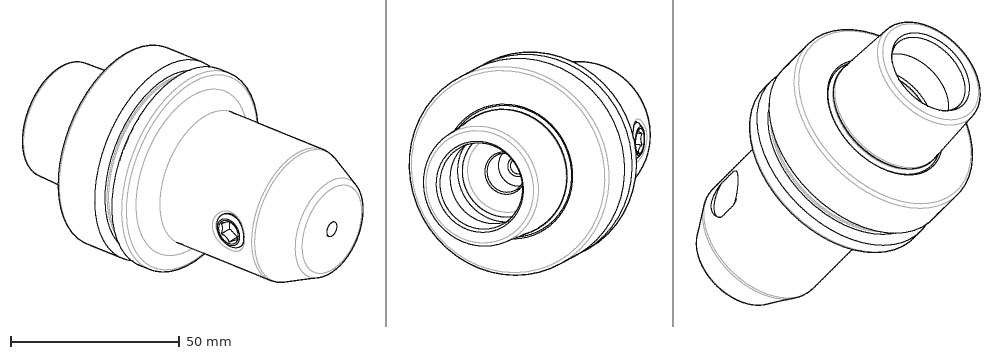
import cadquery as cq
import math

TOTAL_LENGTH = 105.0
TAPER_LENGTH = 25.0
NOSE_END_X = TOTAL_LENGTH - TAPER_LENGTH
TAPER_END_X = -TAPER_LENGTH

TAPER_SMALL_RADIUS = 18.1
TAPER_LARGE_RADIUS = 19.1
TAPER_RIM_FILLET = 1.2

RELIEF_RADIUS = 18.9
TAPER_ROOT_X = -2.1
RELIEF_START_X = -1.4
RELIEF_FLOOR_X = -1.0
RELIEF_ARC_RADIUS = 1.0
RELIEF_ARC_MIDDLE_ANGLE = math.radians(45)
RELIEF_DEPTH = 0.37
RELIEF_RIM_RADIUS = 20.4

FLANGE_RADIUS = 31.5
FLANGE_LENGTH = 26.0
FLANGE_RIM_FILLET = 1.0
GROOVE_CENTER_X = 18.0
GROOVE_MOUTH_WIDTH = 6.6
GROOVE_FLOOR_WIDTH = 3.4
GROOVE_FLOOR_RADIUS = 27.4
GROOVE_FLOOR_FILLET = 0.3
GROOVE_FLANK_ANGLE = 30.0

NECK_RADIUS = 21.0
NECK_FILLET = 5.0
CONE_LENGTH = 13.0
CONE_END_RADIUS = 15.1
CONE_START_FILLET = 2.4
CONE_END_FILLET = 2.0

CLAMP_BORE_RADIUS = 13.0
CLAMP_BORE_DEPTH = 22.5
CLAMP_BORE_FILLET = 1.2
CLAMP_MOUTH_RADIUS = 13.8
CLAMP_MOUTH_ANGLE = 30.0
RECESS_RADIUS = 14.5
RECESS_START_DEPTH = 10.3
RECESS_END_DEPTH = 21.0
TUBE_BORE_RADIUS = 5.9
TUBE_BORE_DEPTH = 10.5
TUBE_BORE_CHAMFER = 0.5
COOLANT_HOLE_RADIUS = 2.3
COOLANT_HOLE_CHAMFER = 0.6

SCREW_X = NOSE_END_X - 22.5
SCREW_RADIUS = 5.5
SCREW_LENGTH = 12.0
SCREW_HEAD_Y = -NECK_RADIUS
SCREW_TIP_Y = SCREW_HEAD_Y + SCREW_LENGTH
SCREW_CHAMFER = 1.2
SCREW_HOLE_FILLET = 0.79
SOCKET_ACROSS_FLATS = 6.0
SOCKET_DEPTH = 4.2
SOCKET_MOUTH_RADIUS = 3.8

BALANCE_X = NOSE_END_X - 24.9
BALANCE_RADIUS = 7.4
BALANCE_FLOOR_Y = 20.0

HEXAGON_HALF_ANGLE = math.radians(30)

MATCH_TOLERANCE = 0.01


def circles_at(body, x, radius):
    """Circular edges around the X axis with the given position and radius."""
    edges = [
        edge
        for edge in body.edges("%CIRCLE").vals()
        if abs(edge.arcCenter().x - x) < MATCH_TOLERANCE and abs(edge.radius() - radius) < MATCH_TOLERANCE
    ]
    return body.newObject(edges)


def make_outer_form():
    """Solid of revolution around X: taper, undercut, grooved flange, neck and nose."""
    groove_start = GROOVE_CENTER_X - GROOVE_MOUTH_WIDTH / 2
    groove_end = GROOVE_CENTER_X + GROOVE_MOUTH_WIDTH / 2
    floor_start = GROOVE_CENTER_X - GROOVE_FLOOR_WIDTH / 2
    floor_end = GROOVE_CENTER_X + GROOVE_FLOOR_WIDTH / 2
    flank_drop = (floor_start - groove_start) / math.tan(math.radians(GROOVE_FLANK_ANGLE))
    flank_end_radius = FLANGE_RADIUS - flank_drop

    arc_start_x = RELIEF_DEPTH - RELIEF_ARC_RADIUS
    arc_top_radius = RELIEF_RADIUS + RELIEF_ARC_RADIUS
    arc_middle_x = arc_start_x + RELIEF_ARC_RADIUS * math.sin(RELIEF_ARC_MIDDLE_ANGLE)
    arc_middle_radius = arc_top_radius - RELIEF_ARC_RADIUS * math.cos(RELIEF_ARC_MIDDLE_ANGLE)

    profile = (
        cq.Workplane("XZ")
        .moveTo(TAPER_END_X, 0)
        .lineTo(TAPER_END_X, TAPER_SMALL_RADIUS)
        .lineTo(TAPER_ROOT_X, TAPER_LARGE_RADIUS)
        .lineTo(RELIEF_START_X, TAPER_LARGE_RADIUS)
        .lineTo(RELIEF_FLOOR_X, RELIEF_RADIUS)
        .lineTo(arc_start_x, RELIEF_RADIUS)
        .threePointArc((arc_middle_x, arc_middle_radius), (RELIEF_DEPTH, arc_top_radius))
        .lineTo(0, RELIEF_RIM_RADIUS)
        .lineTo(0, FLANGE_RADIUS)
        .lineTo(groove_start, FLANGE_RADIUS)
        .lineTo(floor_start, flank_end_radius)
        .lineTo(floor_start, GROOVE_FLOOR_RADIUS)
        .lineTo(floor_end, GROOVE_FLOOR_RADIUS)
        .lineTo(floor_end, flank_end_radius)
        .lineTo(groove_end, FLANGE_RADIUS)
        .lineTo(FLANGE_LENGTH, FLANGE_RADIUS)
        .lineTo(FLANGE_LENGTH, NECK_RADIUS)
        .lineTo(NOSE_END_X - CONE_LENGTH, NECK_RADIUS)
        .lineTo(NOSE_END_X, CONE_END_RADIUS)
        .lineTo(NOSE_END_X, 0)
        .close()
    )
    return profile.revolve(360, (0, 0, 0), (1, 0, 0))


def round_outer_edges(body):
    """Fillets on the rims of the taper, flange, groove floor, neck and nose."""
    rounded_edges = [
        (TAPER_END_X, TAPER_SMALL_RADIUS, TAPER_RIM_FILLET),
        (0, FLANGE_RADIUS, FLANGE_RIM_FILLET),
        (GROOVE_CENTER_X - GROOVE_FLOOR_WIDTH / 2, GROOVE_FLOOR_RADIUS, GROOVE_FLOOR_FILLET),
        (GROOVE_CENTER_X + GROOVE_FLOOR_WIDTH / 2, GROOVE_FLOOR_RADIUS, GROOVE_FLOOR_FILLET),
        (FLANGE_LENGTH, FLANGE_RADIUS, FLANGE_RIM_FILLET),
        (FLANGE_LENGTH, NECK_RADIUS, NECK_FILLET),
        (NOSE_END_X - CONE_LENGTH, NECK_RADIUS, CONE_START_FILLET),
        (NOSE_END_X, CONE_END_RADIUS, CONE_END_FILLET),
    ]
    for x, radius, fillet in rounded_edges:
        body = circles_at(body, x, radius).fillet(fillet)
    return body


def cut_clamp_bore(body):
    """Clamping bore in the taper, with a countersunk mouth and an internal clamping recess."""
    mouth_depth = (CLAMP_MOUTH_RADIUS - CLAMP_BORE_RADIUS) / math.tan(math.radians(CLAMP_MOUTH_ANGLE))
    recess_start_x = TAPER_END_X + RECESS_START_DEPTH
    recess_end_x = TAPER_END_X + RECESS_END_DEPTH
    floor_x = TAPER_END_X + CLAMP_BORE_DEPTH
    profile = (
        cq.Workplane("XZ")
        .moveTo(TAPER_END_X, 0)
        .lineTo(TAPER_END_X, CLAMP_MOUTH_RADIUS)
        .lineTo(TAPER_END_X + mouth_depth, CLAMP_BORE_RADIUS)
        .lineTo(recess_start_x, CLAMP_BORE_RADIUS)
        .lineTo(recess_start_x, RECESS_RADIUS)
        .lineTo(recess_end_x, RECESS_RADIUS)
        .lineTo(recess_end_x, CLAMP_BORE_RADIUS)
        .lineTo(floor_x, CLAMP_BORE_RADIUS)
        .lineTo(floor_x, 0)
        .close()
    )
    bore = profile.revolve(360, (0, 0, 0), (1, 0, 0))
    bore = circles_at(bore, floor_x, CLAMP_BORE_RADIUS).fillet(CLAMP_BORE_FILLET)
    return body.cut(bore)


def cut_coolant_passage(body):
    """Coolant tube bore in the clamping bore floor, and the coolant hole that runs on through the nose."""
    tube_bore_x = TAPER_END_X + CLAMP_BORE_DEPTH
    coolant_hole_x = tube_bore_x + TUBE_BORE_DEPTH
    stages = [
        (tube_bore_x, TUBE_BORE_RADIUS, TUBE_BORE_DEPTH, TUBE_BORE_CHAMFER),
        (coolant_hole_x, COOLANT_HOLE_RADIUS, NOSE_END_X - coolant_hole_x, COOLANT_HOLE_CHAMFER),
    ]
    for start_x, radius, depth, chamfer in stages:
        bore = cq.Workplane("YZ", origin=(start_x, 0, 0)).circle(radius).extrude(depth)
        body = body.cut(bore)
        body = circles_at(body, start_x, radius).chamfer(chamfer)
    return body


def cut_balance_hole(body):
    """Flat-bottomed balancing hole in the +Y side of the neck."""
    hole = (
        cq.Workplane("XZ", origin=(BALANCE_X, NECK_RADIUS, 0))
        .circle(BALANCE_RADIUS)
        .extrude(NECK_RADIUS - BALANCE_FLOOR_Y)
    )
    return body.cut(hole)


def cut_screw_hole(body):
    """Blind hole that holds the clamping screw, with a rounded mouth."""
    hole = (
        cq.Workplane("XZ", origin=(SCREW_X, SCREW_TIP_Y, 0))
        .circle(SCREW_RADIUS)
        .extrude(NECK_RADIUS + SCREW_TIP_Y)
    )
    body = body.cut(hole)
    near_mouth = cq.selectors.NearestToPointSelector((SCREW_X, -NECK_RADIUS, 0))
    return body.edges("not(%CIRCLE or %LINE)").edges(near_mouth).fillet(SCREW_HOLE_FILLET)


def make_holder():
    """Tool holder: turned outer form with its bores and cross holes."""
    body = make_outer_form()
    body = round_outer_edges(body)
    body = cut_clamp_bore(body)
    body = cut_coolant_passage(body)
    body = cut_balance_hole(body)
    return cut_screw_hole(body)


def make_screw():
    """Set screw with chamfered ends and a countersunk hexagon socket."""
    body = (
        cq.Workplane("XZ", origin=(SCREW_X, SCREW_TIP_Y, 0))
        .circle(SCREW_RADIUS)
        .extrude(SCREW_LENGTH)
        .faces("<Y or >Y")
        .chamfer(SCREW_CHAMFER)
    )
    socket_corner_diameter = SOCKET_ACROSS_FLATS / math.cos(HEXAGON_HALF_ANGLE)
    socket = (
        cq.Workplane("XZ", origin=(SCREW_X, SCREW_HEAD_Y + SOCKET_DEPTH, 0))
        .transformed(rotate=(0, 0, math.degrees(HEXAGON_HALF_ANGLE)))
        .polygon(6, socket_corner_diameter)
        .extrude(SOCKET_DEPTH)
    )
    countersink = cq.Solid.makeCone(
        SOCKET_MOUTH_RADIUS,
        0,
        SOCKET_MOUTH_RADIUS,
        cq.Vector(SCREW_X, SCREW_HEAD_Y, 0),
        cq.Vector(0, 1, 0),
    )
    return body.cut(socket).cut(cq.Workplane(countersink))


holder = make_holder()
screw = make_screw()

result = cq.Compound.makeCompound([holder.solids().val(), screw.solids().val()])